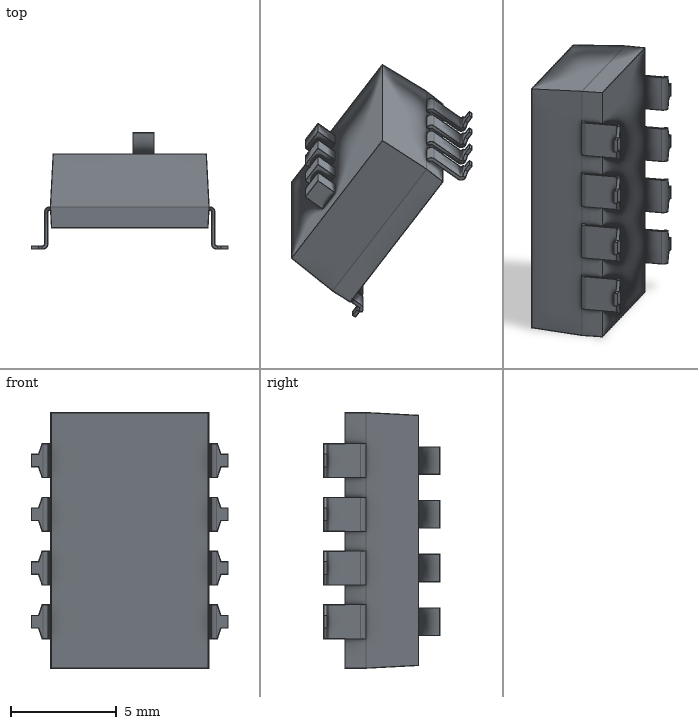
import cadquery as cq
import math


housing_length = 12.09
housing_width = 7.51
cover_depth = 2.5
base_depth = 0.99
draft_angle = 3.0
draft_slope = math.tan(math.radians(draft_angle))

station_count = 4
pitch = 2.54
row_shift = -0.04

slider_width = 1.0
slider_length = 1.3
slider_height = 1.0
slider_offset = 0.65

lead_span = 9.3
leg_span = 8.05
lead_width = 1.61
lead_thickness = 0.16
bend_radius = 0.08
standoff = 1.0
toe_width = 0.6
toe_length = 0.34
shoulder_length = 0.51
lead_embed = 0.24


def station_heights():
    first = row_shift - pitch * (station_count - 1) / 2
    return [first + i * pitch for i in range(station_count)]


def make_housing():
    """Cover tapering on four sides, base tapering only on the long sides."""
    cover_inset = cover_depth * draft_slope
    cover = (
        cq.Workplane("XZ")
        .rect(housing_width, housing_length)
        .workplane(offset=-cover_depth)
        .rect(housing_width - 2 * cover_inset, housing_length - 2 * cover_inset)
        .loft(combine=True)
    )
    half_width = housing_width / 2
    front_half_width = half_width - base_depth * draft_slope
    base = (
        cq.Workplane("XY")
        .polyline([
            (-half_width, 0),
            (half_width, 0),
            (front_half_width, -base_depth),
            (-front_half_width, -base_depth),
        ])
        .close()
        .extrude(housing_length / 2, both=True)
    )
    return cover.union(base)


def make_slider(z):
    slider = cq.Workplane("XY").box(
        slider_width, slider_height, slider_length, centered=(True, False, True)
    )
    return slider.translate((slider_offset, cover_depth, z))


def make_left_lead():
    """Lead on the -X side, centred on Z = 0."""
    tip_x = -lead_span / 2
    leg_outer_x = -leg_span / 2
    leg_inner_x = leg_outer_x + lead_thickness
    embed_x = -housing_width / 2 + lead_embed
    sole_y = -base_depth - standoff
    foot_top_y = sole_y + lead_thickness
    outer_radius = bend_radius + lead_thickness
    bend_diagonal = math.sqrt(0.5)

    lower_x = leg_outer_x - bend_radius
    lower_y = foot_top_y + bend_radius
    upper_x = leg_inner_x + bend_radius
    upper_y = -outer_radius

    def on_bend(x, y, radius, side):
        offset = side * radius * bend_diagonal
        return (x + offset, y - offset)

    profile = (
        cq.Workplane("XY")
        .moveTo(tip_x, sole_y)
        .lineTo(lower_x, sole_y)
        .threePointArc(on_bend(lower_x, lower_y, outer_radius, 1), (leg_inner_x, lower_y))
        .lineTo(leg_inner_x, upper_y)
        .threePointArc(on_bend(upper_x, upper_y, bend_radius, -1), (upper_x, -lead_thickness))
        .lineTo(embed_x, -lead_thickness)
        .lineTo(embed_x, 0)
        .lineTo(upper_x, 0)
        .threePointArc(on_bend(upper_x, upper_y, outer_radius, -1), (leg_outer_x, upper_y))
        .lineTo(leg_outer_x, lower_y)
        .threePointArc(on_bend(lower_x, lower_y, bend_radius, 1), (lower_x, foot_top_y))
        .lineTo(tip_x, foot_top_y)
        .close()
        .extrude(lead_width / 2, both=True)
    )

    toe_x = tip_x + toe_length
    shoulder_x = tip_x + shoulder_length
    outline = (
        cq.Workplane("XZ")
        .polyline([
            (tip_x, -toe_width / 2),
            (toe_x, -toe_width / 2),
            (shoulder_x, -lead_width / 2),
            (embed_x, -lead_width / 2),
            (embed_x, lead_width / 2),
            (shoulder_x, lead_width / 2),
            (toe_x, toe_width / 2),
            (tip_x, toe_width / 2),
        ])
        .close()
        .extrude(-sole_y)
    )
    return profile.intersect(outline)


left_lead = make_left_lead()
right_lead = left_lead.mirror("YZ")

result = make_housing()
for station_z in station_heights():
    result = result.union(make_slider(station_z))
    for lead in (left_lead, right_lead):
        result = result.union(lead.translate((0, 0, station_z)))